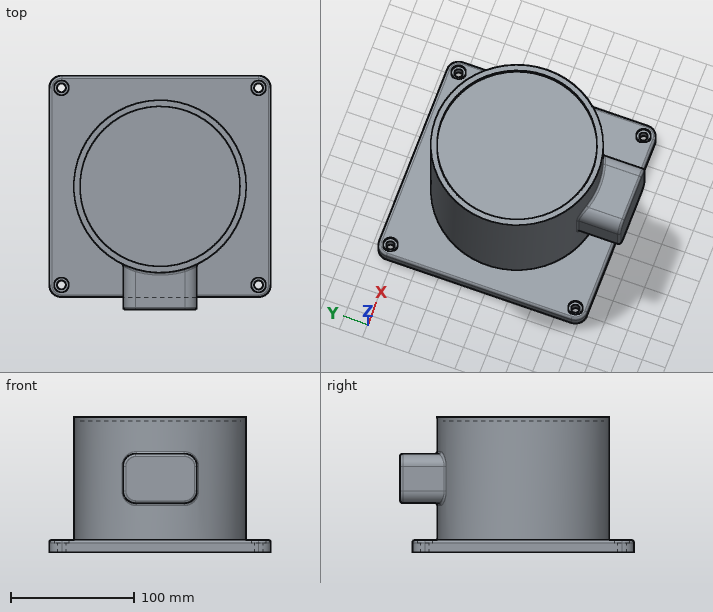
import cadquery as cq

plate_side = 180.0
plate_thickness = 10.0
plate_corner_radius = 10.0
plate_edge_fillet = 2.0

hole_spacing = 160.0
hole_diameter = 7.0
counterbore_diameter = 12.0
counterbore_depth = 2.0

total_height = 110.0
housing_diameter = 140.0
recess_diameter = 130.0
recess_depth = 3.0

overall_depth = 190
box_width = 60.0
box_height = 40.0
box_center_height = 60.0
box_corner_radius = 10.0
box_end_fillet = 2.0
box_root_fillet = 1.9
box_end_y = plate_side / 2 - overall_depth


def make_plate():
    plate = cq.Workplane("XY").box(plate_side, plate_side, plate_thickness, centered=(True, True, False))
    return plate.edges("|Z").fillet(plate_corner_radius).faces(">Z").edges().fillet(plate_edge_fillet)


def make_housing():
    return cq.Workplane("XY").circle(housing_diameter / 2).extrude(total_height)


def make_side_box():
    """Box reaching from the housing axis out to its rounded free end."""
    box = (
        cq.Workplane("XZ", origin=(0, 0, box_center_height))
        .rect(box_width, box_height)
        .extrude(-box_end_y)
    )
    return box.edges("|Y").fillet(box_corner_radius).faces("<Y").edges().fillet(box_end_fillet)


def fillet_box_root(body):
    """Blend the box into the round wall along the curve where they meet."""
    half_width = box_width / 2
    half_height = box_height / 2
    margin = box_root_fillet
    root_edges = cq.selectors.BoxSelector(
        (-half_width - margin, -housing_diameter / 2 - margin, box_center_height - half_height - margin),
        (half_width + margin, 0, box_center_height + half_height + margin),
    )
    return body.edges(root_edges).edges("not |Y").fillet(box_root_fillet)


body = fillet_box_root(make_housing().union(make_side_box()))
body = body.union(make_plate())

body = body.faces(">Z").workplane().circle(recess_diameter / 2).cutBlind(-recess_depth)

result = (
    body.copyWorkplane(cq.Workplane("XY", origin=(0, 0, plate_thickness)))
    .rect(hole_spacing, hole_spacing, forConstruction=True)
    .vertices()
    .cboreHole(hole_diameter, counterbore_diameter, counterbore_depth)
)